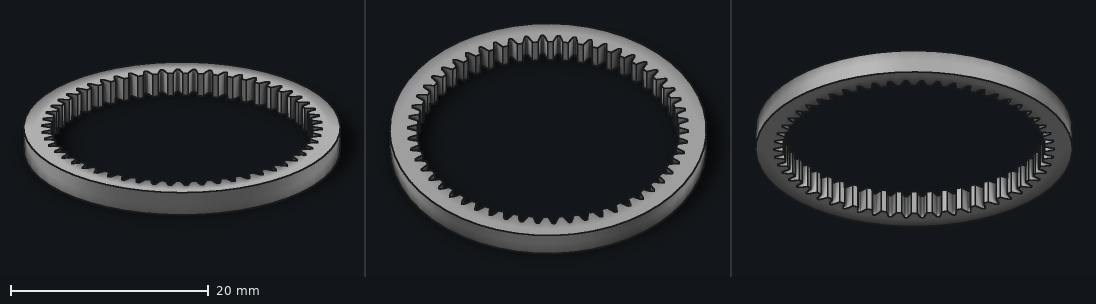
import cadquery as cq
import math

outer_diameter = 32.0
thickness = 2.5

tooth_count = 54
tip_radius = 13.2
root_radius = 14.18
space_width_at_tip = 0.95
space_width_at_root = 0.32
flank_end_radius = 14.08
flank_bulge = 0.015

pitch_angle = 360.0 / tooth_count


def rotated(point, angle):
    """Turn a point about the ring axis by an angle in degrees."""
    x, y = point
    cosine = math.cos(math.radians(angle))
    sine = math.sin(math.radians(angle))
    return (x * cosine - y * sine, x * sine + y * cosine)


def on_circle(radius, offset):
    """Point on a circle about the ring axis, at a given distance from the X axis."""
    return (math.sqrt(radius**2 - offset**2), offset)


def bulged_middle(start, end, bulge):
    """Midpoint of two points, pushed to the right of the direction of travel."""
    dx = end[0] - start[0]
    dy = end[1] - start[1]
    length = math.hypot(dx, dy)
    middle_x = (start[0] + end[0]) / 2
    middle_y = (start[1] + end[1]) / 2
    return (middle_x + bulge * dy / length, middle_y - bulge * dx / length)


def toothed_opening():
    """Solid that fills the inside of the ring, up to the tooth outline."""
    half_tip = space_width_at_tip / 2
    half_root = space_width_at_root / 2

    lower_tip = on_circle(tip_radius, -half_tip)
    lower_root = on_circle(flank_end_radius, -half_root)
    upper_root = on_circle(flank_end_radius, half_root)
    upper_tip = on_circle(tip_radius, half_tip)

    lower_flank = bulged_middle(lower_tip, lower_root, flank_bulge)
    upper_flank = bulged_middle(upper_root, upper_tip, flank_bulge)
    root_middle = (root_radius, 0)
    tooth_tip_middle = rotated((tip_radius, 0), pitch_angle / 2)

    outline = cq.Workplane("XY").moveTo(*lower_tip)
    for tooth in range(tooth_count):
        angle = tooth * pitch_angle
        outline = outline.threePointArc(rotated(lower_flank, angle), rotated(lower_root, angle))
        outline = outline.threePointArc(rotated(root_middle, angle), rotated(upper_root, angle))
        outline = outline.threePointArc(rotated(upper_flank, angle), rotated(upper_tip, angle))
        if tooth < tooth_count - 1:
            next_lower_tip = rotated(lower_tip, angle + pitch_angle)
        else:
            next_lower_tip = lower_tip
        outline = outline.threePointArc(rotated(tooth_tip_middle, angle), next_lower_tip)
    return outline.close().extrude(thickness)


blank = cq.Workplane("XY").circle(outer_diameter / 2).extrude(thickness)
result = blank.cut(toothed_opening())